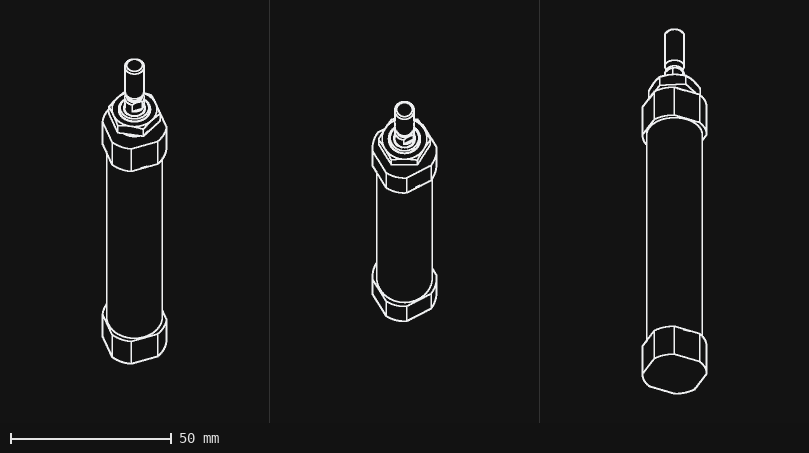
import cadquery as cq
import math

total_height = 134.6
cap_width = 18.0
cap_corner_diameter = 20.0
cap_height = 11.0
front_cap_top = 105.7
front_cap_bottom = front_cap_top - cap_height

barrel_diameter = 17.4

neck_diameter = 10.0
neck_top = 113.7
neck_tip_diameter = 8.9
neck_tip_chamfer = 0.8
collar_height = 1.6
relief_diameter = 8.9
relief_taper = 0.8
relief_bottom = front_cap_top + collar_height + relief_taper

mouth_diameter = 6.6
mouth_depth = 0.5

nut_flats = 14.0
nut_corners = nut_flats / math.cos(math.pi / 6)
nut_bottom = 109.0
nut_height = 4.0
nut_top = nut_bottom + nut_height
nut_face_diameter = 14.0
nut_chamfer_angle = math.radians(30)

rod_diameter = 6.0
rod_bottom = front_cap_bottom
rod_tip_diameter = 4.8
rod_tip_chamfer = (rod_diameter - rod_tip_diameter) / 2
groove_diameter = 4.8
groove_top = 121.8
groove_bottom = 118.7
groove_upper_taper = 1.7
groove_lower_taper = (rod_diameter - groove_diameter) / 2
wrench_flats = 5.0
wrench_flat_bottom = 115.5


def cylinder(diameter, bottom, top):
    return cq.Workplane("XY").workplane(offset=bottom).circle(diameter / 2).extrude(top - bottom)


def revolved(profile):
    """Turn a closed outline of (radius, height) points around the Z axis."""
    return cq.Workplane("XZ").polyline(profile).close().revolve(360, (0, 0), (0, 1))


def make_cap(bottom):
    """Square block whose four corners are rounded about the cylinder axis."""
    top = bottom + cap_height
    block = cq.Workplane("XY").workplane(offset=bottom).rect(cap_width, cap_width).extrude(cap_height)
    return block.intersect(cylinder(cap_corner_diameter, bottom, top))


def make_neck():
    """Neck with a collar at the cap, a thread relief above it and a chamfered tip."""
    neck_radius = neck_diameter / 2
    relief_radius = relief_diameter / 2
    return revolved([
        (0, front_cap_top),
        (neck_radius, front_cap_top),
        (neck_radius, relief_bottom - relief_taper),
        (relief_radius, relief_bottom),
        (relief_radius, nut_bottom),
        (neck_radius, nut_bottom),
        (neck_radius, neck_top - neck_tip_chamfer),
        (neck_tip_diameter / 2, neck_top),
        (0, neck_top),
    ])


def make_housing():
    """Barrel, both caps and neck, with a blind bore for the rod, widened at its mouth."""
    barrel = cylinder(barrel_diameter, cap_height, front_cap_bottom)
    solid = make_cap(0).union(barrel).union(make_cap(front_cap_bottom)).union(make_neck())
    bore = cylinder(rod_diameter, rod_bottom, neck_top)
    mouth = cylinder(mouth_diameter, neck_top - mouth_depth, neck_top)
    return solid.cut(bore).cut(mouth)


def make_nut():
    """Hexagon with corners on the X axis, conically chamfered on top, fitted around the neck."""
    hexagon = cq.Workplane("XY").workplane(offset=nut_bottom).polygon(6, nut_corners).extrude(nut_height)
    face_radius = nut_face_diameter / 2
    corner_radius = nut_corners / 2
    corner_drop = (corner_radius - face_radius) * math.tan(nut_chamfer_angle)
    envelope = revolved([
        (0, nut_bottom),
        (corner_radius, nut_bottom),
        (corner_radius, nut_top - corner_drop),
        (face_radius, nut_top),
        (0, nut_top),
    ])
    return hexagon.intersect(envelope).cut(make_neck())


def make_rod():
    """Rod with a chamfered tip, a tapered groove and two wrench flats facing along X."""
    rod_radius = rod_diameter / 2
    groove_radius = groove_diameter / 2
    rod = revolved([
        (0, rod_bottom),
        (rod_radius, rod_bottom),
        (rod_radius, groove_bottom),
        (groove_radius, groove_bottom + groove_lower_taper),
        (groove_radius, groove_top - groove_upper_taper),
        (rod_radius, groove_top),
        (rod_radius, total_height - rod_tip_chamfer),
        (rod_tip_diameter / 2, total_height),
        (0, total_height),
    ])
    flat_top = groove_bottom + groove_lower_taper
    flat_height = flat_top - wrench_flat_bottom
    for side in (-1, 1):
        cutter = cq.Workplane("XY").box(rod_diameter, rod_diameter, flat_height, centered=(True, True, False))
        offset = side * (wrench_flats + rod_diameter) / 2
        rod = rod.cut(cutter.translate((offset, 0, wrench_flat_bottom)))
    return rod


housing = make_housing()
nut = make_nut()
rod = make_rod()

result = cq.Compound.makeCompound([housing.val(), nut.val(), rod.val()])